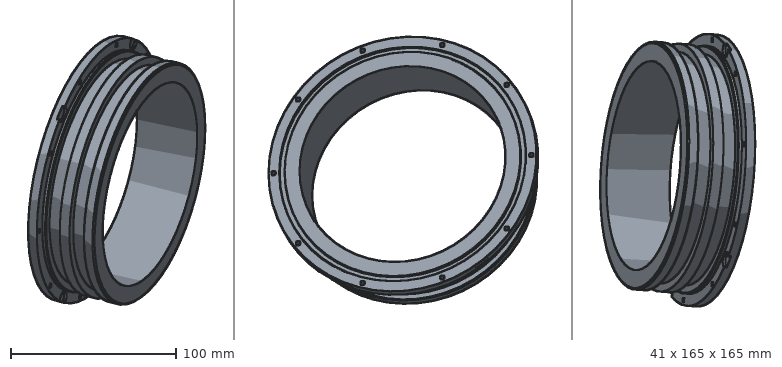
import cadquery as cq
import math

flange_radius = 82.5
ring_length = 41.0
bore_radius = 63.4
flange_thickness = 6.0

band_radius = 75.3
channel_radius = 70.3
collar_end = 8.5
middle_band_start = 17.8
middle_band_end = 24.5
end_band_start = 33.8
edge_chamfer = 0.5
end_chamfer = 1.0

seal_outer_radius = 76.0
seal_inner_radius = 72.6
seal_depth = 2.0

bolt_count = 10
bolt_circle_radius = 79.4
bolt_hole_diameter = 2.6

recess_radius = 4.8
recess_circle_radius = 80.5
recess_depth = 1.7
bolt_pitch = 360 / bolt_count
recess_angle = 1.5 * bolt_pitch


def annulus(start, end, inner_radius, outer_radius):
    """Ring of rectangular section around X, from X = start to X = end."""
    return (
        cq.Workplane("YZ", origin=(start, 0, 0))
        .circle(outer_radius)
        .circle(inner_radius)
        .extrude(end - start)
    )


def cylinders_along_x(start, end, radius, circle_radius, angles):
    """Cylinders parallel to X, spaced around it at angles measured from +Y."""
    centres = [
        (
            circle_radius * math.cos(math.radians(angle)),
            circle_radius * math.sin(math.radians(angle)),
        )
        for angle in angles
    ]
    return (
        cq.Workplane("YZ", origin=(start, 0, 0))
        .pushPoints(centres)
        .circle(radius)
        .extrude(end - start)
    )


body = (
    cq.Workplane("XY")
    .moveTo(0, bore_radius)
    .lineTo(0, flange_radius)
    .lineTo(flange_thickness, flange_radius)
    .lineTo(flange_thickness, band_radius)
    .lineTo(collar_end - edge_chamfer, band_radius)
    .lineTo(collar_end, band_radius - edge_chamfer)
    .lineTo(collar_end, channel_radius)
    .lineTo(middle_band_start, channel_radius)
    .lineTo(middle_band_start, band_radius)
    .lineTo(middle_band_end, band_radius)
    .lineTo(middle_band_end, channel_radius)
    .lineTo(end_band_start, channel_radius)
    .lineTo(end_band_start, band_radius - edge_chamfer)
    .lineTo(end_band_start + edge_chamfer, band_radius)
    .lineTo(ring_length - end_chamfer, band_radius)
    .lineTo(ring_length, band_radius - end_chamfer)
    .lineTo(ring_length, bore_radius)
    .close()
    .revolve(360, (0, 0, 0), (1, 0, 0))
)

seal_groove = annulus(0, seal_depth, seal_inner_radius, seal_outer_radius)

bolt_angles = [i * bolt_pitch for i in range(bolt_count)]
bolt_holes = cylinders_along_x(
    0, flange_thickness, bolt_hole_diameter / 2, bolt_circle_radius, bolt_angles
)

recess_angles = [recess_angle, 180 - recess_angle, 180 + recess_angle, -recess_angle]
recesses = cylinders_along_x(
    flange_thickness - recess_depth,
    flange_thickness,
    recess_radius,
    recess_circle_radius,
    recess_angles,
)

result = body.cut(seal_groove).cut(bolt_holes).cut(recesses)